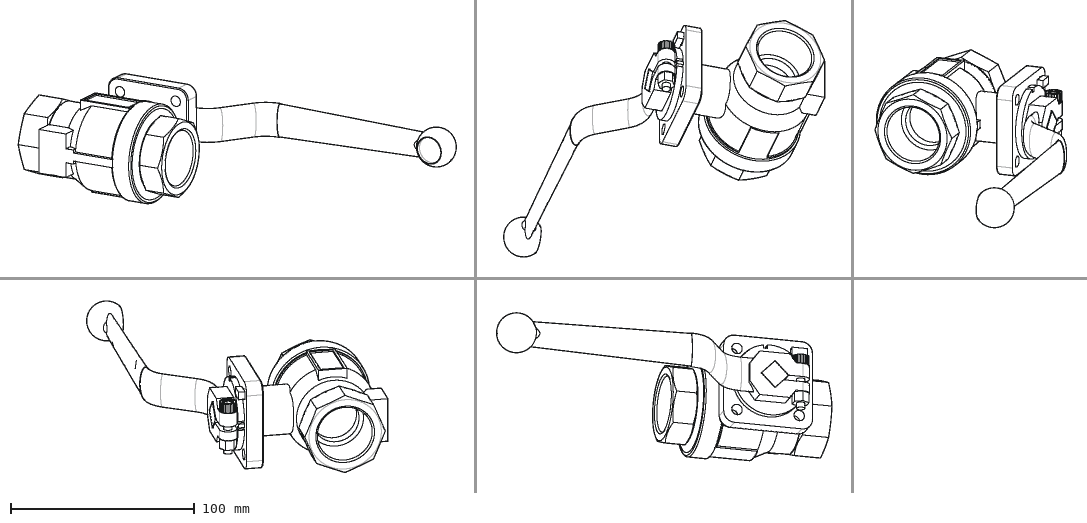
import cadquery as cq
import math


overlap = 2.0

body_half_length = 45.0
octagon_corner_radius = 22.5
octagon_face_radius = 20.2
octagon_chamfer_length = 1.3
octagon_left_end_chamfer_length = 0.5
octagon_left_length = 16.5
octagon_right_length = 13.9
collar_radius = 20.8
cone_start_x = -16.0
barrel_start_x = -6.5
barrel_radius = 26.2
panel_radius = 25.5
panel_end_x = 16.8
flange_start_x = 18.0
flange_end_x = 29.2
flange_radius = 27.5
flange_edge_chamfer = 0.8
shoulder_radius = 25.2
rib_width = 4.6

thread_radius = 15.3
thread_depth = 23.0
port_radius = 12.8
port_depth = 29.5
port_chamfer = 1.0

pad_start_x = -13.6
pad_end_x = 17.2
pad_width = 16.0
pad_border = 1.5
pad_recess_depth = 0.8

lug_length = 17.0
lug_half_width = 12.4
lug_step_half_width = 4.0

neck_radius = 13.6
neck_flare_radius = 15.1
neck_flare_height = 2.3
plate_size = 50.5
plate_bottom_y = 41.2
plate_top_y = 50.6
plate_corner_radius = 6.0
plate_edge_chamfer = 0.6
plate_hole_diameter = 5.9
plate_hole_offset = 17.6
disc_radius = 20.2
disc_thickness = 3.5
stop_length = 8.6
stop_width = 4.5
stop_outer_x = -21.2
notch_depth = 2.0
left_notch_width = 5.2
left_notch_tab_width = 2.0
top_notch_width = 2.3
top_notch_x = 2.5
stem_square = 11.0
stem_protrusion = 0.5

hub_height = 9.7
hub_half_width = 12.5
hub_flat_half_length = 8.6
hub_end_x = 14.3
hub_end_half_width = 5.0
ear_half_width = 8.0
ear_start_x = -12.0
clamp_slot_top_z = 0.2
clamp_slot_bottom_z = -2.7

rod_thickness = 6.7
rod_width = 19.3
bar_start_width = 19.0
bar_start_thickness = 5.9
bar_end_width = 14.5
bar_end_thickness = 5.0
rod_start_x = 9.5
bend_start_x = 18.5
bend_radius = 15.3
bend_angle = 56
bar_y = 89.2
knob_radius = 11.0
knob_x = 154.1
knob_face_offset = 7.8
knob_socket_radius = 7.3
knob_socket_lip = 2.0
flare_start_x = 141.5
flare_start_radius = 2.5
flare_end_radius = 7.0

screw_x = -16.0
screw_radius = 2.3
screw_head_radius = 4.6
screw_head_height = 5.2
screw_recess_radius = 3.1
screw_recess_depth = 0.6
screw_socket_width = 4.8
screw_socket_depth = 2.5
knurl_count = 16
knurl_radius = 0.5
screw_end_z = -16.5
nut_corner_diameter = 9.5
nut_height = 5.7

disc_top_y = plate_top_y + disc_thickness
bar_end_x = knob_x - knob_radius / 2
hub_top_y = disc_top_y + hub_height
hub_mid_y = disc_top_y + hub_height / 2
octagon_right_x = body_half_length - octagon_right_length
collar_start_x = -body_half_length + octagon_left_length


def box(x_range, y_range, z_range):
    """Axis-aligned block between the given limits."""
    size = [high - low for low, high in (x_range, y_range, z_range)]
    corner = (x_range[0], y_range[0], z_range[0])
    return cq.Workplane("XY").box(*size, centered=False).translate(corner)


def x_cylinder(radius, x_start, x_end):
    """Cylinder on the bore axis."""
    return cq.Workplane("YZ", origin=(x_start, 0, 0)).circle(radius).extrude(x_end - x_start)


def y_plane(y):
    """Plane across the stem axis at height y, with local x along X and the normal along +Y."""
    return cq.Workplane(cq.Plane(origin=(0, y, 0), xDir=(1, 0, 0), normal=(0, 1, 0)))


def z_plane(z):
    """Plane across the clamp screw axis at height z."""
    return cq.Workplane("XY", origin=(screw_x, hub_mid_y, z))


def wrench_octagon(x_start, x_end, start_chamfer):
    """Octagon with corners on the Y and Z axes, its corners trimmed by a cone at each end."""
    octagon = (
        cq.Workplane("YZ", origin=(x_start, 0, 0))
        .polygon(8, 2 * octagon_corner_radius)
        .extrude(x_end - x_start)
    )
    trim_profile = [
        (x_start, 0),
        (x_start, octagon_face_radius),
        (x_start + start_chamfer, octagon_corner_radius),
        (x_end - octagon_chamfer_length, octagon_corner_radius),
        (x_end, octagon_face_radius),
        (x_end, 0),
    ]
    trim = cq.Workplane("XY").polyline(trim_profile).close().revolve(360, (0, 0, 0), (1, 0, 0))
    return octagon.intersect(trim)


def turned_barrel():
    """Collar, cone, barrel, flange and shoulder turned about the bore axis."""
    profile = [
        (collar_start_x, 0),
        (collar_start_x, collar_radius),
        (cone_start_x, collar_radius),
        (barrel_start_x, panel_radius),
        (barrel_start_x, barrel_radius),
        (flange_start_x, barrel_radius),
        (flange_start_x, flange_radius),
        (flange_end_x - flange_edge_chamfer, flange_radius),
        (flange_end_x, flange_radius - flange_edge_chamfer),
        (flange_end_x, shoulder_radius),
        (octagon_right_x, collar_radius),
        (octagon_right_x, 0),
    ]
    return cq.Workplane("XY").polyline(profile).close().revolve(360, (0, 0, 0), (1, 0, 0))


def barrel_panels():
    """Four shallow ring segments to remove between the two ribs and the two pads."""
    ring = x_cylinder(barrel_radius + overlap, barrel_start_x, panel_end_x).cut(
        x_cylinder(panel_radius, barrel_start_x, panel_end_x)
    )
    reach = 2 * barrel_radius
    rib_band = box((-reach, reach), (-reach, reach), (-rib_width / 2, rib_width / 2))
    pad_band = box((-reach, reach), (-pad_width / 2, pad_width / 2), (-reach, reach))
    return ring.cut(rib_band).cut(pad_band)


def barrel_ribs():
    """Straight ribs on the +Y and -Y sides of the barrel, flush with the flange."""
    return box(
        (barrel_start_x, flange_start_x),
        (-flange_radius, flange_radius),
        (-rib_width / 2, rib_width / 2),
    )


def top_pad():
    """Flat framed pad that runs from the cone to the flange."""
    half = pad_width / 2
    pad = box((pad_start_x, pad_end_x), (-half, half), (collar_radius - overlap, barrel_radius))
    recess = box(
        (pad_start_x + pad_border, pad_end_x - pad_border),
        (-half + pad_border, half - pad_border),
        (barrel_radius - pad_recess_depth, barrel_radius + overlap),
    )
    return pad, recess


def side_lug():
    """Square lug and its narrow step, flush with the flange."""
    y_range = (-flange_radius, -collar_radius / 2)
    lug_end_x = collar_start_x + lug_length
    lug = box((collar_start_x, lug_end_x), y_range, (-lug_half_width, lug_half_width))
    step = box((lug_end_x, barrel_start_x), y_range, (-lug_step_half_width, lug_step_half_width))
    return lug.union(step)


def mounting_plate():
    """Square plate with rounded corners and four bolt holes."""
    return (
        y_plane(plate_bottom_y)
        .rect(plate_size, plate_size)
        .extrude(plate_top_y - plate_bottom_y)
        .edges("|Y")
        .fillet(plate_corner_radius)
        .faces("<Y")
        .edges()
        .chamfer(plate_edge_chamfer)
        .faces(">Y")
        .workplane(centerOption="CenterOfBoundBox")
        .rect(2 * plate_hole_offset, 2 * plate_hole_offset, forConstruction=True)
        .vertices()
        .hole(plate_hole_diameter)
    )


def neck():
    """Neck from the barrel to the plate, flared where it meets the plate."""
    tube = y_plane(0).circle(neck_radius).extrude(plate_bottom_y)
    flare = (
        y_plane(plate_bottom_y - neck_flare_height)
        .circle(neck_radius)
        .workplane(offset=neck_flare_height)
        .circle(neck_flare_radius)
        .loft()
    )
    return tube.union(flare)


def stem_square_bar(extra_height):
    """Square stem end, set with its corners on the X and Z axes."""
    return (
        y_plane(disc_top_y)
        .transformed(rotate=(0, 0, 45))
        .rect(stem_square, stem_square)
        .extrude(hub_height + extra_height)
    )


def stop_disc():
    """Disc on the plate with two rim notches, and a stop block at one corner."""
    disc = y_plane(plate_top_y).circle(disc_radius).extrude(disc_thickness)
    y_range = (plate_top_y, disc_top_y)
    floor = disc_radius - notch_depth
    left_half = left_notch_width / 2
    tab_half = left_notch_tab_width / 2
    for z_range in ((-left_half, -tab_half), (tab_half, left_half)):
        disc = disc.cut(box((-disc_radius, -floor), y_range, z_range))
    top_notch_start = top_notch_x - top_notch_width / 2
    disc = disc.cut(
        box((top_notch_start, top_notch_start + top_notch_width), y_range, (floor, disc_radius))
    )
    stop = box(
        (stop_outer_x, stop_outer_x + stop_length),
        y_range,
        (disc_radius - stop_width, disc_radius),
    )
    return disc.union(stop)


def port(direction):
    """Stepped blind bore in the end that faces the given X direction (+1 or -1)."""
    profile = [
        (0, 0),
        (0, thread_radius + port_chamfer),
        (port_chamfer, thread_radius),
        (thread_depth, thread_radius),
        (thread_depth, port_radius),
        (port_depth, port_radius),
        (port_depth, 0),
    ]
    points = [(direction * (body_half_length - depth), radius) for depth, radius in profile]
    return cq.Workplane("XY").polyline(points).close().revolve(360, (0, 0, 0), (1, 0, 0))


def build_housing():
    pad, pad_recess = top_pad()
    barrel = turned_barrel().cut(barrel_panels()).union(barrel_ribs())
    housing = (
        barrel.union(wrench_octagon(-body_half_length, collar_start_x, octagon_left_end_chamfer_length))
        .union(wrench_octagon(octagon_right_x, body_half_length, octagon_chamfer_length))
        .union(pad)
        .cut(pad_recess)
        .union(side_lug())
        .union(neck())
        .union(mounting_plate())
        .union(stop_disc())
        .union(stem_square_bar(stem_protrusion))
    )
    for direction in (-1, 1):
        housing = housing.cut(port(direction))
    return housing


def clamp_hub():
    """Hub with two rounded clamp ears, before its socket is cut."""
    outline = [
        (ear_start_x, ear_half_width),
        (-hub_flat_half_length, hub_half_width),
        (hub_flat_half_length, hub_half_width),
        (hub_end_x, hub_end_half_width),
        (hub_end_x, -hub_end_half_width),
        (hub_flat_half_length, -hub_half_width),
        (-hub_flat_half_length, -hub_half_width),
        (ear_start_x, -ear_half_width),
    ]
    hub = y_plane(disc_top_y).polyline(outline).close().extrude(hub_height)
    ear_block = box(
        (screw_x, ear_start_x),
        (disc_top_y, hub_top_y),
        (-ear_half_width, ear_half_width),
    )
    ears = (
        z_plane(-ear_half_width)
        .circle(hub_height / 2)
        .extrude(2 * ear_half_width)
        .union(ear_block)
    )
    return hub.union(ears)


def clamp_slot():
    """Slot between the ears, open into the stem socket."""
    return box(
        (screw_x - hub_height, 0),
        (disc_top_y, hub_top_y),
        (clamp_slot_bottom_z, clamp_slot_top_z),
    )


def bent_rod():
    """Oval rod that leaves the hub along X and is offset upwards by two equal bends."""
    turn = math.radians(bend_angle)
    half = turn / 2
    run = bend_radius * math.sin(turn)
    rise = bend_radius * (1 - math.cos(turn))
    mid_run = bend_radius * math.sin(half)
    mid_rise = bend_radius * (1 - math.cos(half))
    first_end = (bend_start_x + run, hub_mid_y + rise)
    slope_rise = bar_y - hub_mid_y - 2 * rise
    second_start = (first_end[0] + slope_rise / math.tan(turn), bar_y - rise)
    bar_start_x = second_start[0] + run
    path = (
        cq.Workplane("XY")
        .moveTo(rod_start_x, hub_mid_y)
        .lineTo(bend_start_x, hub_mid_y)
        .threePointArc((bend_start_x + mid_run, hub_mid_y + mid_rise), first_end)
        .lineTo(*second_start)
        .threePointArc((bar_start_x - mid_run, bar_y - mid_rise), (bar_start_x, bar_y))
    )
    rod = (
        cq.Workplane("YZ", origin=(rod_start_x, hub_mid_y, 0))
        .ellipse(rod_thickness / 2, rod_width / 2)
        .sweep(path)
    )
    return rod, bar_start_x


def tapered_bar(start_x):
    """Oval bar that narrows towards the knob."""
    return (
        cq.Workplane("YZ", origin=(start_x, bar_y, 0))
        .ellipse(bar_start_thickness / 2, bar_start_width / 2)
        .workplane(offset=bar_end_x - start_x)
        .ellipse(bar_end_thickness / 2, bar_end_width / 2)
        .loft()
    )


def knob():
    """Ball with a flat underside, plus the cone where the bar enters it."""
    ball = cq.Workplane("XY").sphere(knob_radius).translate((knob_x, bar_y, 0))
    flare = (
        cq.Workplane("YZ", origin=(flare_start_x, bar_y, 0))
        .circle(flare_start_radius)
        .workplane(offset=bar_end_x - flare_start_x)
        .circle(flare_end_radius)
        .loft()
    )
    reach = 2 * knob_radius
    face_y = bar_y - knob_face_offset
    below_face = box((knob_x - reach, knob_x + reach), (face_y - reach, face_y), (-reach, reach))
    return ball.union(flare).cut(below_face)


def knob_socket():
    """Round-bottomed socket in the flat underside of the knob."""
    face_y = bar_y - knob_face_offset
    straight = y_plane(face_y).center(knob_x, 0).circle(knob_socket_radius).extrude(knob_socket_lip)
    dome = cq.Workplane("XY").sphere(knob_socket_radius).translate((knob_x, face_y + knob_socket_lip, 0))
    return straight.union(dome)


def build_lever():
    rod, bar_start_x = bent_rod()
    screw_hole = z_plane(-hub_half_width).circle(screw_radius).extrude(2 * hub_half_width)
    hub = clamp_hub().cut(clamp_slot()).cut(screw_hole)
    return (
        hub.union(rod)
        .union(tapered_bar(bar_start_x))
        .union(knob())
        .cut(stem_square_bar(0))
        .cut(knob_socket())
    )


def screw_head():
    """Knurled head with a round recess around its hexagon socket."""
    head_top_z = ear_half_width + screw_head_height
    head = z_plane(ear_half_width).circle(screw_head_radius).extrude(screw_head_height)
    grooves = (
        z_plane(ear_half_width)
        .polarArray(screw_head_radius, 0, 360, knurl_count)
        .circle(knurl_radius)
        .extrude(screw_head_height)
    )
    recess = z_plane(head_top_z).circle(screw_recess_radius).extrude(-screw_recess_depth)
    socket = z_plane(head_top_z).polygon(6, screw_socket_width).extrude(-screw_socket_depth)
    return head.cut(grooves).cut(recess).cut(socket)


def build_clamp_screw():
    """Socket-head screw and its nut, as one body through the clamp ears."""
    shank = z_plane(screw_end_z).circle(screw_radius).extrude(ear_half_width - screw_end_z)
    nut = (
        z_plane(-ear_half_width)
        .transformed(rotate=(0, 0, 90))
        .polygon(6, nut_corner_diameter)
        .extrude(-nut_height)
    )
    return shank.union(screw_head()).union(nut)


housing = build_housing()
lever = build_lever()
clamp_screw = build_clamp_screw()

result = cq.Compound.makeCompound([housing.val(), lever.val(), clamp_screw.val()])